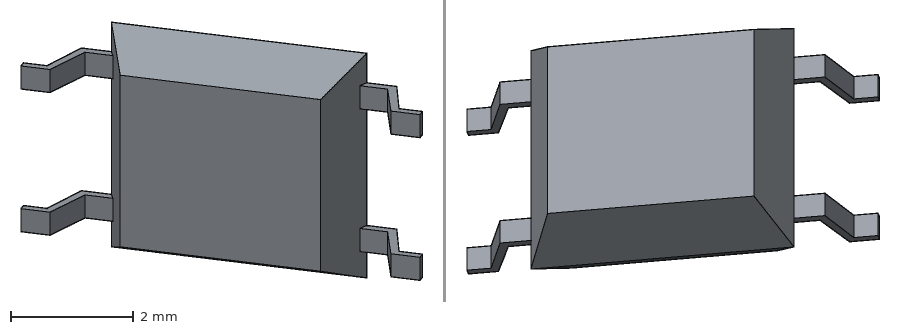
import cadquery as cq

body_length = 4.39
body_height = 4.0
body_depth = 2.05
taper_inset = 0.47

lead_span = 6.86
lead_width = 0.41
lead_pitch = 2.54
lead_thickness = 0.16
foot_thickness = 0.145
foot_bottom_length = 0.5
foot_top_length = 0.405
shoulder_outer_x = 2.71
shoulder_inner_x = 2.6
lead_root_x = 1.92

half_depth = body_depth / 2


def body_half(side):
    """Frustum from the parting plane to the flat face at Y = side * half_depth."""
    return (
        cq.Workplane("XZ")
        .rect(body_length, body_height)
        .workplane(offset=-side * half_depth)
        .rect(body_length - 2 * taper_inset, body_height - 2 * taper_inset)
        .loft(ruled=True)
    )


def lead(side, center_z):
    """Bent strip leaving the parting plane and ending flush with the -Y face."""
    tip_x = lead_span / 2
    profile = [
        (lead_root_x, 0),
        (shoulder_outer_x, 0),
        (tip_x - foot_top_length, foot_thickness - half_depth),
        (tip_x, foot_thickness - half_depth),
        (tip_x, -half_depth),
        (tip_x - foot_bottom_length, -half_depth),
        (shoulder_inner_x, -lead_thickness),
        (lead_root_x, -lead_thickness),
    ]
    return (
        cq.Workplane("XY")
        .workplane(offset=center_z - lead_width / 2)
        .polyline([(side * x, y) for x, y in profile])
        .close()
        .extrude(lead_width)
    )


result = body_half(-1).union(body_half(1))
for side in (-1, 1):
    for center_z in (-lead_pitch / 2, lead_pitch / 2):
        result = result.union(lead(side, center_z))